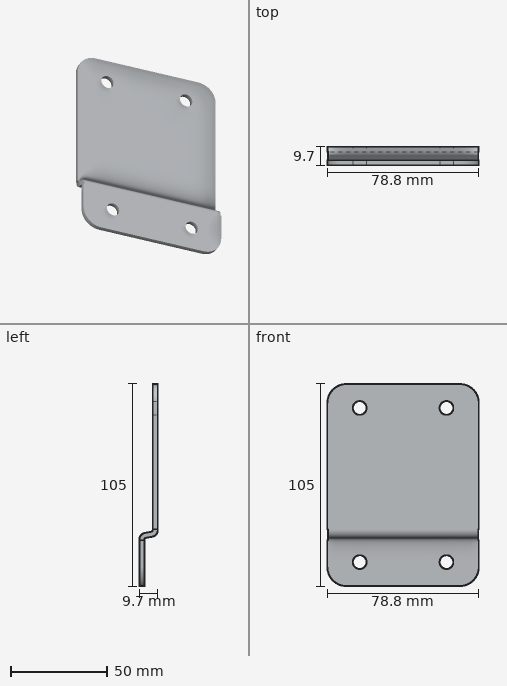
import cadquery as cq
import math

width = 78.8
depth = 9.7
height = 105.0
thickness = 2.7
corner_radius = 10.0

bend_inner_radius = 0.8
bend_outer_radius = bend_inner_radius + thickness
web_slope = math.radians(10)
bend_middle_z = 26.7

relief_depth = 0.3
relief_height = 5.6

hole_diameter = 7.0
hole_spacing_x = 45.0
hole_spacing_z = 80.0

centre_gap_y = depth - 2 * bend_outer_radius
centre_gap_z = (
    2 * bend_inner_radius + thickness + centre_gap_y * math.sin(web_slope)
) / math.cos(web_slope)
upper_centre = (bend_outer_radius, bend_middle_z + centre_gap_z / 2)
lower_centre = (depth - bend_outer_radius, bend_middle_z - centre_gap_z / 2)


def on_upper_bend(radius, angle):
    """Point on the upper bend, angle measured down from its front tangent."""
    return (
        upper_centre[0] - radius * math.cos(angle),
        upper_centre[1] - radius * math.sin(angle),
    )


def on_lower_bend(radius, angle):
    """Point on the lower bend, angle measured up from its back tangent."""
    return (
        lower_centre[0] + radius * math.cos(angle),
        lower_centre[1] + radius * math.sin(angle),
    )


def bent_sheet():
    """Side profile of the sheet, extruded across the full width."""
    sweep = math.pi / 2 - web_slope
    profile = (
        cq.Workplane("YZ")
        .moveTo(0, height)
        .lineTo(*on_upper_bend(bend_outer_radius, 0))
        .threePointArc(on_upper_bend(bend_outer_radius, sweep / 2), on_upper_bend(bend_outer_radius, sweep))
        .lineTo(*on_lower_bend(bend_inner_radius, sweep))
        .threePointArc(on_lower_bend(bend_inner_radius, sweep / 2), on_lower_bend(bend_inner_radius, 0))
        .lineTo(depth - thickness, 0)
        .lineTo(depth, 0)
        .lineTo(*on_lower_bend(bend_outer_radius, 0))
        .threePointArc(on_lower_bend(bend_outer_radius, sweep / 2), on_lower_bend(bend_outer_radius, sweep))
        .lineTo(*on_upper_bend(bend_inner_radius, sweep))
        .threePointArc(on_upper_bend(bend_inner_radius, sweep / 2), on_upper_bend(bend_inner_radius, 0))
        .lineTo(thickness, height)
        .close()
    )
    return profile.extrude(width / 2, both=True)


def face_outline():
    """Rounded plate outline with bend reliefs and holes, as a block through the depth."""
    middle = (0, depth / 2, height / 2)
    block = cq.Workplane("XY").box(width, depth, height).edges("|Y").fillet(corner_radius)
    block = block.translate(middle)
    for side in (-1, 1):
        relief = cq.Workplane("XY").box(2 * relief_depth, depth, relief_height)
        block = block.cut(relief.translate((side * width / 2, depth / 2, bend_middle_z)))
    holes = (
        cq.Workplane("XZ", origin=(0, 0, height / 2))
        .rarray(hole_spacing_x, hole_spacing_z, 2, 2)
        .circle(hole_diameter / 2)
        .extrude(-depth)
    )
    return block.cut(holes)


result = bent_sheet().intersect(face_outline())